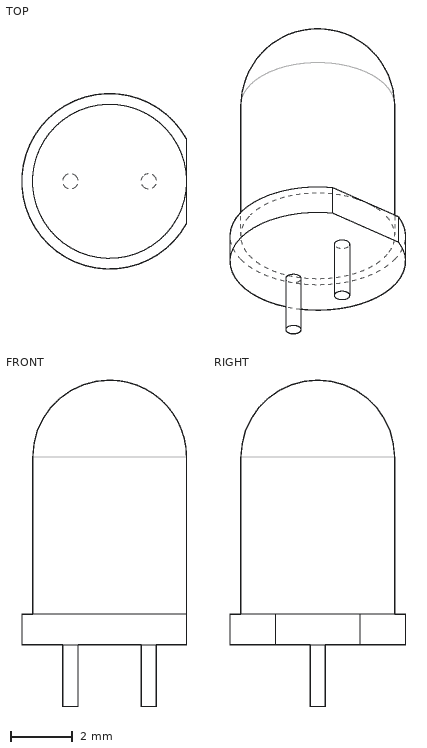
import cadquery as cq

total_height = 10.6
body_radius = 2.5
flange_radius = 2.85
flange_height = 1.0
lead_length = 2.0
lead_diameter = 0.5
lead_spacing = 2.54

tip_z = total_height - lead_length
dome_base_z = tip_z - body_radius


def make_lens():
    """Cylindrical body with a hemispherical dome, revolved about Z."""
    dome_mid = body_radius * 0.5 ** 0.5
    return (
        cq.Workplane("XZ")
        .lineTo(body_radius, 0)
        .lineTo(body_radius, dome_base_z)
        .threePointArc((dome_mid, dome_base_z + dome_mid), (0, tip_z))
        .close()
        .revolve(360, (0, 0), (0, 1))
    )


def make_flange():
    """Round flange with a flat on +X, tangent to the body."""
    disc = cq.Workplane("XY").circle(flange_radius).extrude(flange_height)
    flat_limit = (
        cq.Workplane("XY")
        .center((body_radius - flange_radius) / 2, 0)
        .rect(body_radius + flange_radius, 2 * flange_radius)
        .extrude(flange_height)
    )
    return disc.intersect(flat_limit)


def make_leads():
    """Two round leads below the flange, spaced along X."""
    return (
        cq.Workplane("XY")
        .pushPoints([(-lead_spacing / 2, 0), (lead_spacing / 2, 0)])
        .circle(lead_diameter / 2)
        .extrude(-lead_length)
    )


result = make_lens().union(make_flange()).union(make_leads())